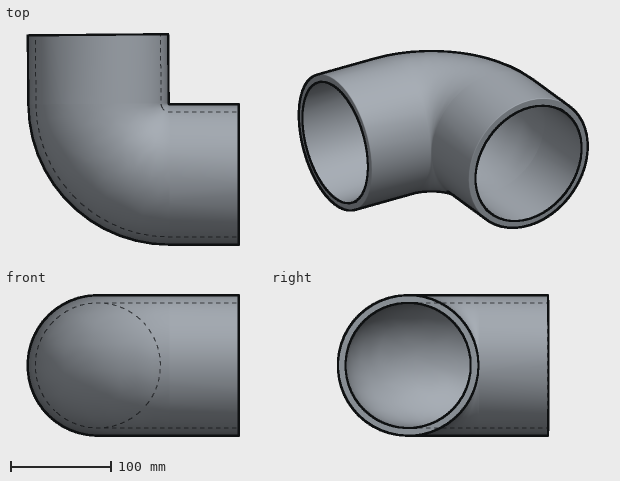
import cadquery as cq

outer_diameter = 140.5
bore_diameter = 125.0
bend_radius = 71.0
first_leg_length = 69.16
second_leg_length = 69.28
bend_angle = 89.5
rim_fillet = 0.8



def pipe_section(diameter):
    """Round outline in the plane X = 0, where the bend meets the first leg."""
    return cq.Workplane("YZ").center(-bend_radius, 0).circle(diameter / 2)


def bend(diameter):
    """Torus section that turns clockwise about the Z axis from the first leg to the second."""
    axis_start = (bend_radius, 0)
    axis_end = (bend_radius, -1)
    return pipe_section(diameter).revolve(bend_angle, axis_start, axis_end)


def first_leg(diameter):
    """Straight cylinder along +X from the start of the bend."""
    return pipe_section(diameter).extrude(first_leg_length)


def second_leg(diameter):
    """Straight cylinder along -X, not yet swung to the far end of the bend."""
    return pipe_section(diameter).extrude(-second_leg_length)


def joined_elbow(first, second, diameter):
    """Join two legs to the bend, swinging the second one round the bend axis into place."""
    placed_second = second.rotate((0, 0, 0), (0, 0, 1), -bend_angle)
    return bend(diameter).union(first).union(placed_second)


def outer_elbow():
    """Solid elbow with both end rims rounded."""
    first = first_leg(outer_diameter).faces(">X").edges().fillet(rim_fillet)
    second = second_leg(outer_diameter).faces("<X").edges().fillet(rim_fillet)
    return joined_elbow(first, second, outer_diameter)


def bore():
    """Round passage that follows the centreline from end to end."""
    return joined_elbow(first_leg(bore_diameter), second_leg(bore_diameter), bore_diameter)


result = outer_elbow().cut(bore())